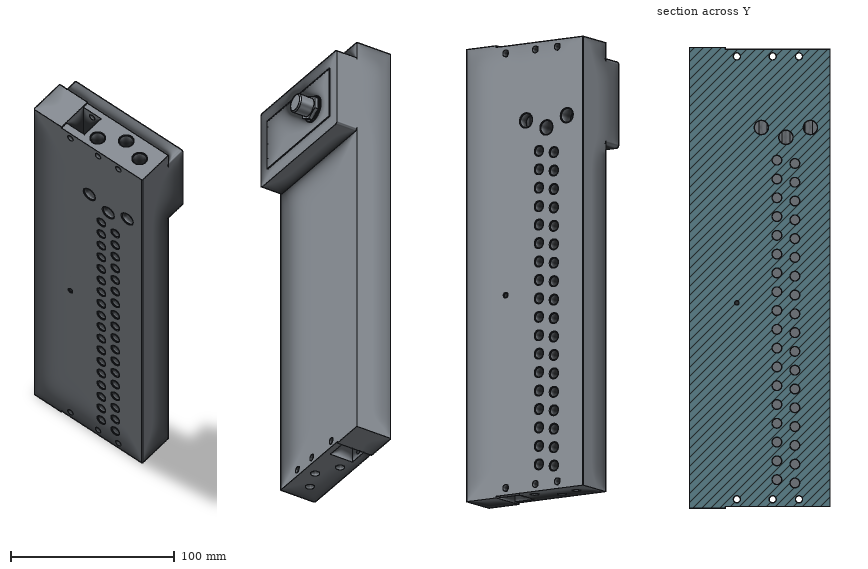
import cadquery as cq
import math

width = 86.0
height = 282.0
body_depth = 25.0
end_block_width = 22.0
end_step = 1.0
front_edge_chamfer = 0.5
hole_rim_chamfer = 0.5

tunnel_width = 14.0
tunnel_depth = 16.0
tunnel_front_wall = 5.0
tunnel_center_x = end_block_width + tunnel_width / 2

port_diameter = 8.6
channel_diameter = 5.5
mouth_depth = 20.0
port_floor_gap = 1.4
channels = [
    ((44.0, 8.1), (45.0, 8.1), 233.0),
    ((59.0, 17.4), (59.0, 17.2), 227.0),
    ((74.0, 12.0), (73.0, 12.0), 233.0),
]

outlet_diameter = 5.8
outlet_depth = 10.0
outlet_pitch = 11.5
outlet_count = 18
outlet_columns = [(53.5, 17.5), (64.5, 15.5)]

mount_diameter = 4.2
mount_inset = 5.5
mount_xs = [tunnel_center_x, 50.9, 67.0]

screw_diameter = 2.5
screw_z = 125.7

cover_thickness = 14.4
cover_height = 54.0
cover_bottom = 217.6
cover_corner_radius = 2.0
cover_back = body_depth + cover_thickness
cover_center_z = cover_bottom + cover_height / 2

plate_width = 70.0
plate_height = 35.0
plate_thickness = 0.6

connector_x = 25.5
connector_z = 241.6
flange_diameter = 17.0
flange_back = 41.2
flange_chamfer = 0.5
nut_across_flats = 14.0
nut_back = 43.7
plug_diameter = 12.0
plug_back = 53.6
plug_chamfer = 0.8


def cylinder_y(diameter, x, z, y_start, y_end):
    """Cylinder along Y between two Y positions."""
    return cq.Workplane("XY").add(
        cq.Solid.makeCylinder(diameter / 2, y_end - y_start, cq.Vector(x, y_start, z), cq.Vector(0, 1, 0))
    )


def cylinder_z(diameter, x, y, z_start, z_end):
    """Cylinder along Z between two Z positions."""
    return cq.Workplane("XY").add(
        cq.Solid.makeCylinder(diameter / 2, z_end - z_start, cq.Vector(x, y, z_start))
    )


def front_hole(diameter, x, z, depth):
    """Blind hole from the front face with a chamfered rim."""
    rim = cq.Workplane("XY").add(
        cq.Solid.makeCone(
            diameter / 2 + hole_rim_chamfer, diameter / 2, hole_rim_chamfer,
            cq.Vector(x, 0, z), cq.Vector(0, 1, 0),
        )
    )
    return cylinder_y(diameter, x, z, 0, depth).union(rim)


def top_mouth(x, y):
    """Wide upper end of a supply channel with a chamfered rim."""
    top = height - end_step
    rim = cq.Workplane("XY").add(
        cq.Solid.makeCone(
            port_diameter / 2, port_diameter / 2 + hole_rim_chamfer, hole_rim_chamfer,
            cq.Vector(x, y, top - hole_rim_chamfer),
        )
    )
    return cylinder_z(port_diameter, x, y, top - mouth_depth, top).union(rim)


def make_body():
    strip = cq.Workplane("XY").box(end_block_width, body_depth, height, centered=False)
    main = (
        cq.Workplane("XY", origin=(0, 0, end_step))
        .box(width, body_depth, height - 2 * end_step, centered=False)
    )
    tunnel = (
        cq.Workplane("XY", origin=(end_block_width, tunnel_front_wall, 0))
        .box(tunnel_width, tunnel_depth, height, centered=False)
    )
    block = strip.union(main)
    block = block.edges("|Z and <Y").edges("<X or >X").chamfer(front_edge_chamfer)
    return block.cut(tunnel)


def cut_channels(body):
    for (mouth_x, mouth_y), (bore_x, bore_y), port_z in channels:
        body = body.cut(cylinder_z(channel_diameter, bore_x, bore_y, 0, height))
        body = body.cut(top_mouth(mouth_x, mouth_y))
        body = body.cut(front_hole(port_diameter, mouth_x, port_z, bore_y - port_floor_gap))
    return body


def cut_outlets(body):
    for x, lowest_z in outlet_columns:
        for row in range(outlet_count):
            z = lowest_z + row * outlet_pitch
            body = body.cut(front_hole(outlet_diameter, x, z, outlet_depth))
    return body


def cut_mounting_holes(body):
    for x in mount_xs:
        for z in (mount_inset, height - mount_inset):
            body = body.cut(cylinder_y(mount_diameter, x, z, 0, body_depth))
    return body.cut(front_hole(screw_diameter, tunnel_center_x, screw_z, tunnel_front_wall))


def make_cover():
    cover = (
        cq.Workplane("XY", origin=(0, body_depth, cover_bottom))
        .box(width, cover_thickness, cover_height, centered=False)
        .edges("|Y").fillet(cover_corner_radius)
    )
    plate = (
        cq.Workplane("XY", origin=(width / 2, cover_back + plate_thickness / 2, cover_center_z))
        .box(plate_width, plate_thickness, plate_height)
    )
    return cover.union(plate)


def make_connector():
    flange = (
        cylinder_y(flange_diameter, connector_x, connector_z, cover_back, flange_back)
        .faces(">Y").chamfer(flange_chamfer)
    )
    nut_across_corners = nut_across_flats / math.cos(math.pi / 6)
    nut = (
        cq.Workplane("XZ", origin=(connector_x, nut_back, connector_z))
        .transformed(rotate=(0, 0, 90))
        .polygon(6, nut_across_corners)
        .extrude(nut_back - flange_back)
    )
    plug = (
        cylinder_y(plug_diameter, connector_x, connector_z, flange_back, plug_back)
        .faces(">Y").chamfer(plug_chamfer)
    )
    return flange.union(nut).union(plug)


body = cut_mounting_holes(cut_outlets(cut_channels(make_body())))
result = body.union(make_cover(), clean=False).union(make_connector(), clean=False)